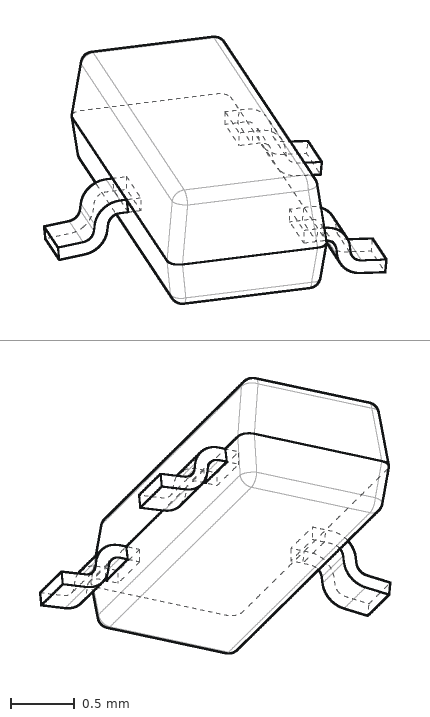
import cadquery as cq
import math

body_length = 2.9
body_width = 1.3
top_z = 1.02
parting_z = 0.452
body_bottom_z = 0.052
draft_angle = 7.0
edge_radius = 0.1

lead_width = 0.4
lead_thickness = 0.11
lead_span = 2.42
lead_spacing = 0.92
lead_inner_radius = 0.1
lead_shoulder = 0.052
lead_embed = 0.115
riser_angle = 83.0
foot_angle = 5.5
lead_outer_radius = lead_inner_radius + lead_thickness


def housing_half(height):
    """Drafted half from the parting plane; a negative height extends downwards."""
    half = (
        cq.Workplane("XY")
        .rect(body_length, body_width)
        .extrude(height, taper=draft_angle)
    )
    parting_face = "<Z" if height > 0 else ">Z"
    half = half.faces(f"not {parting_face}").edges(f"not {parting_face}").fillet(edge_radius)
    return half.translate((0, 0, parting_z))


def along(start, angle, distance):
    """Point reached from start in the (outward, up) plane, heading down by angle in degrees."""
    heading = math.radians(angle)
    return (start[0] + distance * math.cos(heading), start[1] - distance * math.sin(heading))


def lead_profile():
    """Closed side outline of a lead that points towards +Y."""
    root_y = body_width / 2 - lead_embed
    bend_y = body_width / 2 + lead_shoulder
    upper_center = (bend_y, parting_z - lead_outer_radius)

    def on_upper_bend(radius, angle):
        return along(upper_center, angle - 90, radius)

    riser_top_outer = on_upper_bend(lead_outer_radius, riser_angle)
    riser_top_inner = on_upper_bend(lead_inner_radius, riser_angle)

    tip_top = (lead_span / 2, lead_thickness * math.cos(math.radians(foot_angle)))
    tip_bottom = along(tip_top, foot_angle + 90, lead_thickness)
    unshifted_center = along(riser_top_outer, riser_angle - 90, lead_inner_radius)
    unshifted_foot = along(unshifted_center, foot_angle + 90, lead_inner_radius)
    foot_slope = math.tan(math.radians(foot_angle))
    foot_line_z = tip_top[1] + (tip_top[0] - unshifted_foot[0]) * foot_slope
    height_excess = unshifted_foot[1] - foot_line_z
    drop_per_length = (
        math.sin(math.radians(riser_angle)) - math.cos(math.radians(riser_angle)) * foot_slope
    )
    riser_length = height_excess / drop_per_length
    lower_center = along(unshifted_center, riser_angle, riser_length)

    def on_lower_bend(radius, angle):
        return along(lower_center, angle + 90, radius)

    upper_middle = riser_angle / 2
    lower_middle = (riser_angle + foot_angle) / 2
    return (
        cq.Workplane("YZ")
        .moveTo(root_y, parting_z)
        .lineTo(bend_y, parting_z)
        .threePointArc(on_upper_bend(lead_outer_radius, upper_middle), riser_top_outer)
        .lineTo(*on_lower_bend(lead_inner_radius, riser_angle))
        .threePointArc(
            on_lower_bend(lead_inner_radius, lower_middle),
            on_lower_bend(lead_inner_radius, foot_angle),
        )
        .lineTo(*tip_top)
        .lineTo(*tip_bottom)
        .lineTo(*on_lower_bend(lead_outer_radius, foot_angle))
        .threePointArc(
            on_lower_bend(lead_outer_radius, lower_middle),
            on_lower_bend(lead_outer_radius, riser_angle),
        )
        .lineTo(*riser_top_inner)
        .threePointArc(
            on_upper_bend(lead_inner_radius, upper_middle),
            (bend_y, parting_z - lead_thickness),
        )
        .lineTo(root_y, parting_z - lead_thickness)
        .close()
    )


def make_lead(x, turn):
    """One lead centred on x, turned about Z by turn degrees from +Y."""
    lead = lead_profile().extrude(lead_width / 2, both=True)
    return lead.rotate((0, 0, 0), (0, 0, 1), turn).translate((x, 0, 0))


lead_places = [(-lead_spacing, 0), (lead_spacing, 0), (0, 180)]
leads = [make_lead(x, turn) for x, turn in lead_places]

upper_housing = housing_half(top_z - parting_z)
lower_housing = housing_half(body_bottom_z - parting_z)

for lead in leads:
    lower_housing = lower_housing.cut(lead)

result = cq.Compound.makeCompound(
    [upper_housing.val(), lower_housing.val(), *[lead.val() for lead in leads]]
)